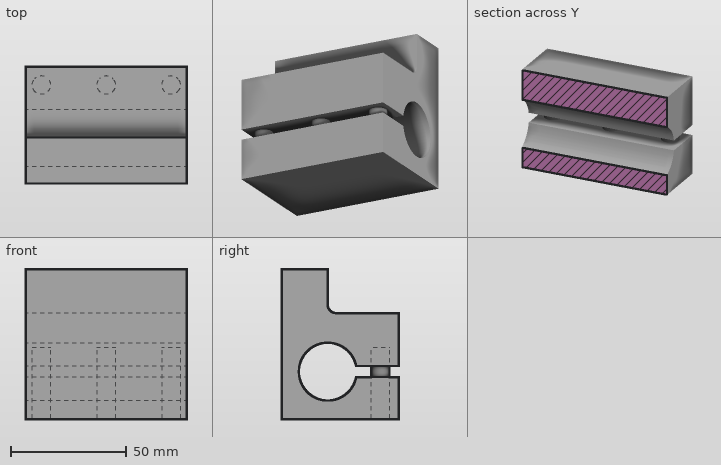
import cadquery as cq

LENGTH = 69.85
DEPTH = 50.8
HEIGHT = 65.2

UPRIGHT_THICKNESS = 20.0
SHOULDER_HEIGHT = 46.1
STEP_FILLET = 3.6

BORE_DIAMETER = 25.0
BORE_Y = UPRIGHT_THICKNESS
BORE_Z = 20.7
SLOT_WIDTH = 4.7

SCREW_COUNT = 3
SCREW_DIAMETER = 8.0
SCREW_EDGE_DISTANCE = 7.95
SCREW_SPACING = 28.15
SCREW_GRIP = SCREW_DIAMETER

SCREW_Y = DEPTH - SCREW_EDGE_DISTANCE
SCREW_TOP = BORE_Z + SLOT_WIDTH / 2 + SCREW_GRIP
FIRST_SCREW_X = LENGTH / 2 - SCREW_SPACING * (SCREW_COUNT - 1) / 2
SCREW_POSITIONS = [FIRST_SCREW_X + i * SCREW_SPACING for i in range(SCREW_COUNT)]


def make_screw(x):
    """Plain shank from the underside, through the slot, into the upper jaw."""
    return cq.Workplane("XY").center(x, SCREW_Y).circle(SCREW_DIAMETER / 2).extrude(SCREW_TOP)


def make_stepped_block():
    """L-shaped block with a rounded inner corner at the foot of the upright."""
    inner_y = UPRIGHT_THICKNESS + STEP_FILLET
    inner_z = SHOULDER_HEIGHT + STEP_FILLET
    return (
        cq.Workplane("YZ")
        .lineTo(DEPTH, 0)
        .lineTo(DEPTH, SHOULDER_HEIGHT)
        .lineTo(inner_y, SHOULDER_HEIGHT)
        .radiusArc((UPRIGHT_THICKNESS, inner_z), STEP_FILLET)
        .lineTo(UPRIGHT_THICKNESS, HEIGHT)
        .lineTo(0, HEIGHT)
        .close()
        .extrude(LENGTH)
    )


def make_bore():
    """Round bore running the full length."""
    return cq.Workplane("YZ").center(BORE_Y, BORE_Z).circle(BORE_DIAMETER / 2).extrude(LENGTH)


def make_slot():
    """Slot from the bore axis out through the rear face."""
    return (
        cq.Workplane("YZ")
        .center((BORE_Y + DEPTH) / 2, BORE_Z)
        .rect(DEPTH - BORE_Y, SLOT_WIDTH)
        .extrude(LENGTH)
    )


def make_clamp_block(screws):
    """Block with its bore, slot and a matching hole for every screw."""
    block = make_stepped_block().cut(make_bore()).cut(make_slot())
    for screw in screws:
        block = block.cut(screw)
    return block


screws = [make_screw(x) for x in SCREW_POSITIONS]
clamp_block = make_clamp_block(screws)

result = cq.Compound.makeCompound([clamp_block.val(), *[screw.val() for screw in screws]])